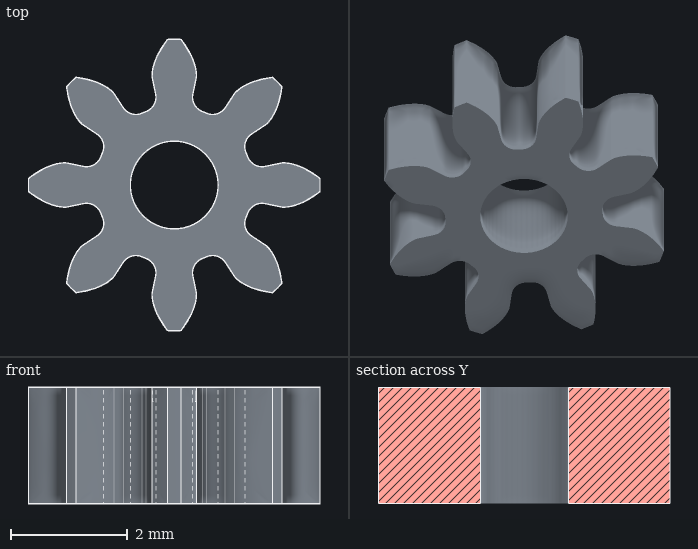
import cadquery as cq
import math

teeth = 8
module = 0.5
pressure_angle = math.radians(20)
face_width = 2.0
bore_diameter = 1.5
root_radius = 1.35
root_fillet = 0.26
tooth_half_angle = math.radians(10.8)
flank_points = 8

pitch_radius = teeth * module / 2
tip_radius = pitch_radius + module
base_radius = pitch_radius * math.cos(pressure_angle)
tooth_pitch = 2 * math.pi / teeth


def involute(angle):
    return math.tan(angle) - angle


def polar(radius, angle):
    return (radius * math.cos(angle), radius * math.sin(angle))


base_half_angle = tooth_half_angle + involute(pressure_angle)

fillet_center_radius = root_radius + root_fillet
fillet_angle = math.asin(root_fillet / fillet_center_radius)
flank_foot_radius = fillet_center_radius * math.cos(fillet_angle)
root_half_angle = base_half_angle + fillet_angle
fillet_center = polar(fillet_center_radius, root_half_angle)


def flank_point(step):
    """Radius and half angle of the involute flank, from base circle to tip."""
    radius = base_radius + (tip_radius - base_radius) * (step / flank_points) ** 2
    roll = math.acos(min(1.0, base_radius / radius))
    return radius, base_half_angle - involute(roll)


def fillet_middle(axis, side):
    """Point halfway along the fillet on one side (-1 or 1) of a tooth."""
    toward_root = root_half_angle + math.pi
    toward_flank = base_half_angle - math.pi / 2
    direction = (toward_root + toward_flank + 2 * math.pi) / 2
    x = fillet_center[0] + root_fillet * math.cos(direction)
    y = fillet_center[1] + root_fillet * math.sin(direction)
    return polar(math.hypot(x, y), axis + side * math.atan2(y, x))


def add_tooth(outline, axis):
    """Trace one tooth counterclockwise and the root arc that follows it."""
    flank = [flank_point(step) for step in range(flank_points + 1)]
    rising = [polar(radius, axis - half) for radius, half in flank]
    falling = [polar(radius, axis + half) for radius, half in reversed(flank)]
    next_root = axis + tooth_pitch - root_half_angle
    return (
        outline
        .threePointArc(fillet_middle(axis, -1), polar(flank_foot_radius, axis - base_half_angle))
        .lineTo(*rising[0])
        .spline(rising[1:], includeCurrent=True)
        .threePointArc(polar(tip_radius, axis), falling[0])
        .spline(falling[1:], includeCurrent=True)
        .lineTo(*polar(flank_foot_radius, axis + base_half_angle))
        .threePointArc(fillet_middle(axis, 1), polar(root_radius, axis + root_half_angle))
        .threePointArc(polar(root_radius, axis + tooth_pitch / 2), polar(root_radius, next_root))
    )


outline = cq.Workplane("XY").moveTo(*polar(root_radius, -root_half_angle))
for tooth in range(teeth):
    outline = add_tooth(outline, tooth * tooth_pitch)
body = outline.close().extrude(face_width)

bore = cq.Workplane("XY").circle(bore_diameter / 2).extrude(face_width)
result = body.cut(bore)